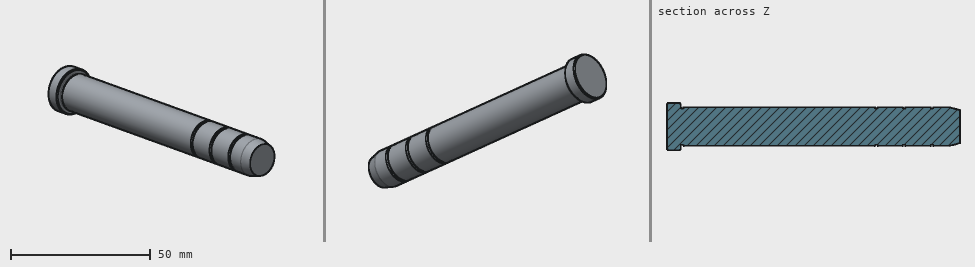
import cadquery as cq

total_length = 105.0
head_diameter = 17.0
head_length = 5.0
head_chamfer = 0.4
shaft_diameter = 14.0
taper_length = 4.0
tip_diameter = 11.9

groove_radius = 0.47
last_groove_x = 94.9
groove_spacing = 10.0
tip_groove_count = 3

shaft_radius = shaft_diameter / 2


def cylinder(diameter, start_x, length):
    return cq.Workplane("YZ", origin=(start_x, 0, 0)).circle(diameter / 2).extrude(length)


def groove(center_x):
    """Ring with a circular section centred on the shaft surface."""
    return (
        cq.Workplane("XY")
        .center(center_x, shaft_radius)
        .circle(groove_radius)
        .revolve(360, (0, -shaft_radius, 0), (1, -shaft_radius, 0))
    )


head = cylinder(head_diameter, 0, head_length).edges().chamfer(head_chamfer)

taper_start_x = total_length - taper_length
shaft = cylinder(shaft_diameter, head_length, taper_start_x - head_length)
lead_in = (
    cq.Workplane("YZ", origin=(taper_start_x, 0, 0))
    .circle(shaft_radius)
    .workplane(offset=taper_length)
    .circle(tip_diameter / 2)
    .loft()
)

relief_x = head_length + groove_radius
groove_positions = [relief_x]
for index in range(tip_groove_count):
    groove_positions.append(last_groove_x - index * groove_spacing)

result = head.union(shaft).union(lead_in)
for center_x in groove_positions:
    result = result.cut(groove(center_x))